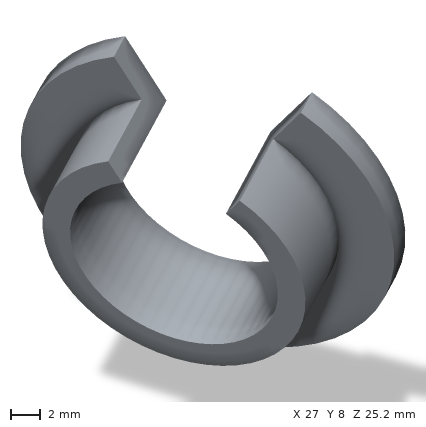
import cadquery as cq
import math

bore_radius = 7.5
wall_thickness = 2.0
flange_radius = 13.5
flange_thickness = 2.0
total_length = 8.0
gap_angle = 60.0

sleeve_radius = bore_radius + wall_thickness


def ring(outer_radius, length):
    """Ring around the Y axis, running from Y = 0 toward -Y."""
    return cq.Workplane("XZ").circle(outer_radius).circle(bore_radius).extrude(length)


def gap_wedge():
    """Wedge with its apex on the axis, whose two sides are the radial gap faces."""
    wedge_height = 2 * flange_radius
    half_width = wedge_height * math.tan(math.radians(gap_angle / 2))
    return (
        cq.Workplane("XZ")
        .moveTo(0, 0)
        .lineTo(half_width, wedge_height)
        .lineTo(-half_width, wedge_height)
        .close()
        .extrude(total_length)
    )


sleeve = ring(sleeve_radius, total_length)
flange = ring(flange_radius, flange_thickness)

result = sleeve.union(flange).cut(gap_wedge())